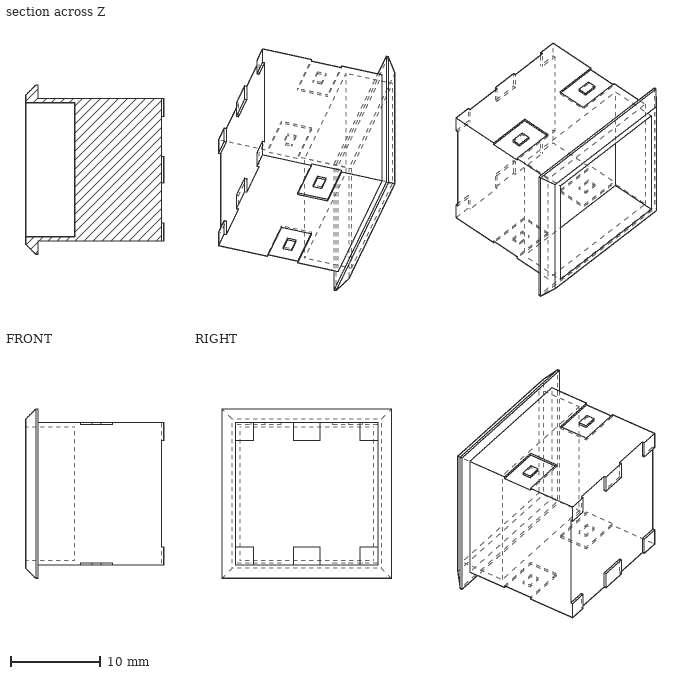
import cadquery as cq

overall_length = 15.49

bezel_side = 19.0
bezel_thickness = 1.4
bezel_chamfer = 1.15

body_side = 16.0
cavity_side = 15.0
cavity_depth = 5.5

foot_height = 0.25
foot_depth = 2.05
corner_foot_width = 2.05
middle_foot_width = 3.0

recess_center_x = 7.94
recess_width = 3.55
recess_length = 5.1
recess_depth = 0.25
pad_width = 1.0
pad_length = 1.55

half_body = body_side / 2
rear_face_x = overall_length - foot_height


def block(length_x, length_y, length_z, center):
    return cq.Workplane("XY").box(length_x, length_y, length_z).translate(center)


def square_prism(side, start_x, end_x):
    return cq.Workplane("YZ", origin=(start_x, 0, 0)).rect(side, side).extrude(end_x - start_x)


def make_bezel():
    """Square plate with its front edges beveled."""
    plate = square_prism(bezel_side, 0, bezel_thickness)
    return plate.faces("<X").chamfer(bezel_chamfer)


def make_feet_row(side_z):
    """Three feet along the bottom (-1) or top (+1) edge of the rear face."""
    corner_y = half_body - corner_foot_width / 2
    foot_x = rear_face_x + foot_height / 2
    foot_z = side_z * (half_body - foot_depth / 2)
    corner_foot = block(foot_height, corner_foot_width, foot_depth, (foot_x, corner_y, foot_z))
    opposite_foot = corner_foot.mirror("XZ")
    middle_foot = block(foot_height, middle_foot_width, foot_depth, (foot_x, 0, foot_z))
    return corner_foot, middle_foot, opposite_foot


def make_side_recess(side_y, side_z):
    """Volume removed for one recess, open at the Y side, leaving its pad flush with the body."""
    center = (
        recess_center_x,
        side_y * (half_body - recess_length / 2),
        side_z * (half_body - recess_depth / 2),
    )
    pocket = block(recess_width, recess_length, recess_depth, center)
    pad = block(pad_width, pad_length, recess_depth, center)
    return pocket.cut(pad)


body = square_prism(body_side, bezel_thickness, rear_face_x)
cavity = square_prism(cavity_side, 0, cavity_depth)

result = make_bezel().union(body).cut(cavity)
for side_z in (-1, 1):
    for foot in make_feet_row(side_z):
        result = result.union(foot)
    for side_y in (-1, 1):
        result = result.cut(make_side_recess(side_y, side_z))